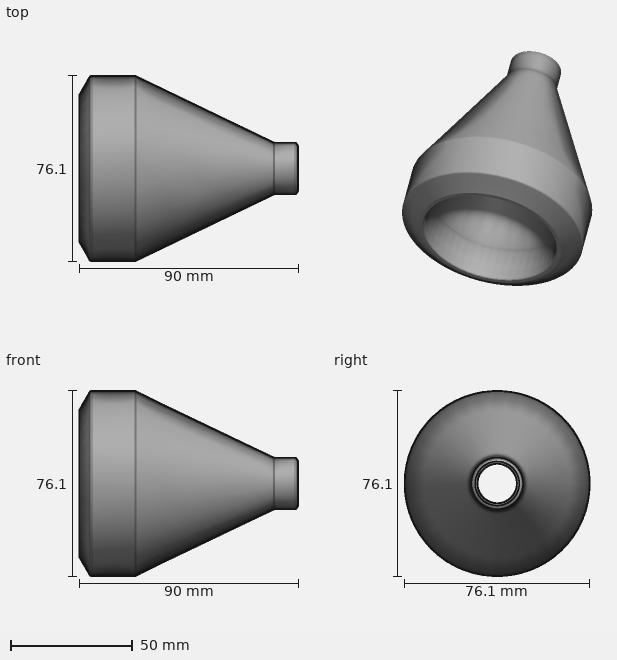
import cadquery as cq
import math

LENGTH = 90.0
LARGE_DIAMETER = 76.1
LARGE_BORE = 56.1
SMALL_DIAMETER = 21.3
SMALL_BORE = 16.1

LARGE_CYLINDER_LENGTH = 23.0
SMALL_CYLINDER_LENGTH = 10.05
LARGE_BORE_LENGTH = 15.0
SMALL_BORE_LENGTH = 10.0

LARGE_LAND = 2.0
SMALL_LAND = 1.0
BEVEL_ANGLE = 30.0
EDGE_RADIUS = 1.0
BORE_EDGE_BREAK = 0.3

large_radius = LARGE_DIAMETER / 2
small_radius = SMALL_DIAMETER / 2
large_bore_radius = LARGE_BORE / 2
small_bore_radius = SMALL_BORE / 2


def bevel_depth(outer_radius, land_radius):
    """Axial length of a weld bevel from the land edge out to the outer radius."""
    return (outer_radius - land_radius) * math.tan(math.radians(BEVEL_ANGLE))


def make_outer_body():
    """Solid body: bevel, large cylinder, cone, small cylinder, bevel."""
    large_land_radius = large_bore_radius + LARGE_LAND
    small_land_radius = small_bore_radius + SMALL_LAND
    large_corner_x = bevel_depth(large_radius, large_land_radius)
    cone_start_x = LARGE_CYLINDER_LENGTH
    cone_end_x = LENGTH - SMALL_CYLINDER_LENGTH
    small_corner_x = LENGTH - bevel_depth(small_radius, small_land_radius)

    profile = (
        cq.Workplane("XY")
        .lineTo(0, large_land_radius)
        .lineTo(large_corner_x, large_radius)
        .lineTo(cone_start_x, large_radius)
        .lineTo(cone_end_x, small_radius)
        .lineTo(small_corner_x, small_radius)
        .lineTo(LENGTH, small_land_radius)
        .lineTo(LENGTH, 0)
        .close()
    )
    body = profile.revolve(360, (0, 0, 0), (1, 0, 0))

    rounded_edges = (
        body.edges("%CIRCLE")
        .filter(lambda edge: 0 < round(edge.Center().x, 6) < LENGTH)
    )
    return rounded_edges.fillet(EDGE_RADIUS)


def make_bore():
    """Through passage: straight bore, inner cone, straight bore."""
    profile = (
        cq.Workplane("XY")
        .lineTo(0, large_bore_radius)
        .lineTo(LARGE_BORE_LENGTH, large_bore_radius)
        .lineTo(LENGTH - SMALL_BORE_LENGTH, small_bore_radius)
        .lineTo(LENGTH, small_bore_radius)
        .lineTo(LENGTH, 0)
        .close()
    )
    return profile.revolve(360, (0, 0, 0), (1, 0, 0))


def chamfer_bore_mouth(body):
    """Break the sharp edge where the bore meets the large end face."""
    mouth_edge = body.faces("<X").edges(cq.selectors.RadiusNthSelector(0))
    return mouth_edge.chamfer(BORE_EDGE_BREAK)


result = chamfer_bore_mouth(make_outer_body().cut(make_bore()))